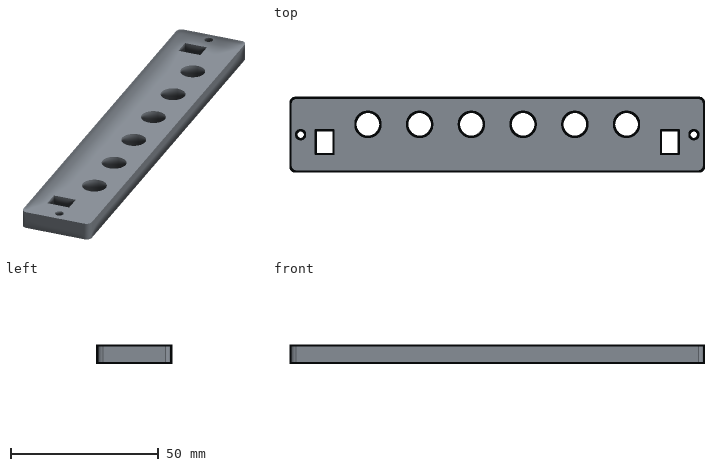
import cadquery as cq

length = 140.0
width = 25.0
thickness = 6.0
corner_radius = 2.0

hole_count = 6
hole_diameter = 8.4
hole_pitch = 17.5
hole_row_y = 3.5

mount_diameter = 3.0
mount_edge_distance = 3.5
mount_spacing = length - 2 * mount_edge_distance

window_length = 5.9
window_width = 8.0
window_spacing = 116.8
window_y = -2.5


def cut_round_holes(body, diameter, count, pitch, y):
    """Cut a row of through holes centred about the middle of the plate."""
    row_start = -(count - 1) * pitch / 2
    centres = [(row_start + i * pitch, y) for i in range(count)]
    return body.faces(">Z").workplane(origin=(0, 0, 0)).pushPoints(centres).hole(diameter)


def cut_windows(body):
    """Cut the two rectangular through windows."""
    centres = [(side * window_spacing / 2, window_y) for side in (-1, 1)]
    sketch = body.faces(">Z").workplane(origin=(0, 0, 0)).pushPoints(centres)
    return sketch.rect(window_length, window_width).cutThruAll()


plate = cq.Workplane("XY").box(length, width, thickness).edges("|Z").fillet(corner_radius)
plate = cut_round_holes(plate, hole_diameter, hole_count, hole_pitch, hole_row_y)
plate = cut_round_holes(plate, mount_diameter, 2, mount_spacing, 0)
result = cut_windows(plate)